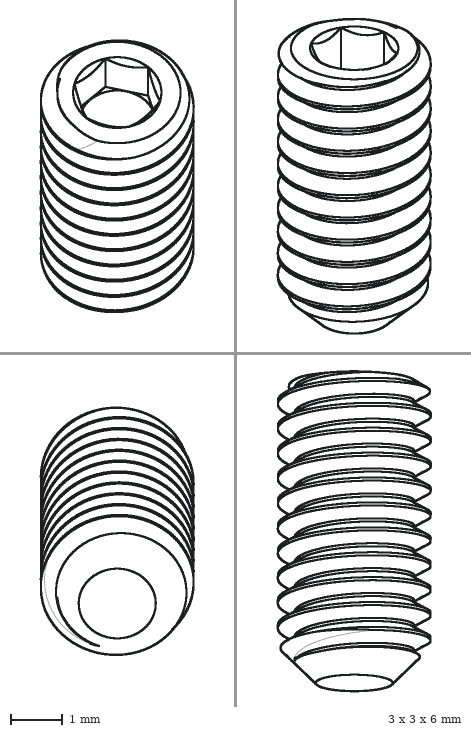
import cadquery as cq
import math

length = 6.0
major_radius = 1.5
pitch = length / 12
flank_angle = 30.0
flat_width = pitch / 8
crest_height_at_x = 0.41
flank_slope = math.tan(math.radians(flank_angle))
root_radius = major_radius - (pitch / 2 - flat_width) / flank_slope
spare_turns = 2
root_overlap = 0.02

top_face_radius = 1.24
top_chamfer_height = 0.17
tip_radius = 0.755
crest_clearance = 0.06

hex_across_flats = 1.5
hex_corner_radius = hex_across_flats / math.sqrt(3)
hex_depth = 0.93
drill_radius = 0.745
drill_half_angle = 60.0


def make_envelope():
    """Turned outline that trims the thread at both ends."""
    clear_radius = major_radius + crest_clearance
    clear_drop = top_chamfer_height * (clear_radius - top_face_radius) / (major_radius - top_face_radius)
    outline = [
        (0, 0),
        (tip_radius, 0),
        (clear_radius, clear_radius - tip_radius),
        (clear_radius, length - clear_drop),
        (top_face_radius, length),
        (0, length),
    ]
    return cq.Workplane("XZ").polyline(outline).close().revolve(360, (0, 0), (0, 1))


def make_thread_ridge():
    """Right-handed helical ridge running past both ends of the body."""
    start = crest_height_at_x - spare_turns * pitch
    turns = length / pitch + 2 * spare_turns - 1
    base_radius = root_radius - root_overlap
    crest_half = flat_width / 2
    base_half = crest_half + (major_radius - base_radius) * flank_slope
    helix = cq.Wire.makeHelix(pitch, turns * pitch, root_radius, center=cq.Vector(0, 0, start))
    profile = cq.Workplane("XZ").polyline([
        (base_radius, start - base_half),
        (major_radius, start - crest_half),
        (major_radius, start + crest_half),
        (base_radius, start + base_half),
    ]).close()
    return profile.sweep(cq.Workplane(helix), isFrenet=True)


def make_socket():
    """Hexagon with corners on Y, a 45 degree lead-in and a drill-point bottom."""
    floor = length - hex_depth
    hexagon = (
        cq.Workplane("XY", origin=(0, 0, floor))
        .polygon(6, 2 * hex_corner_radius)
        .extrude(hex_depth)
        .rotate((0, 0, 0), (0, 0, 1), 30)
    )
    lead_in = (
        cq.Workplane("XZ")
        .polyline([(0, length), (hex_corner_radius, length), (0, length - hex_corner_radius)])
        .close()
        .revolve(360, (0, 0), (0, 1))
    )
    drill_point_depth = drill_radius / math.tan(math.radians(drill_half_angle))
    drill_point = (
        cq.Workplane("XZ")
        .polyline([(0, floor), (drill_radius, floor), (0, floor - drill_point_depth)])
        .close()
        .revolve(360, (0, 0), (0, 1))
    )
    return hexagon.union(lead_in).union(drill_point)


def make_long_core():
    """Root cylinder reaching past the thread, its seam turned away from the ridge start."""
    core_extra = 2 * spare_turns * pitch
    seam_angle = 100
    return (
        cq.Workplane("XY", origin=(0, 0, -core_extra))
        .circle(root_radius)
        .extrude(length + 2 * core_extra)
        .rotate((0, 0, 0), (0, 0, 1), seam_angle)
    )


threaded_rod = make_long_core().union(make_thread_ridge())
result = threaded_rod.intersect(make_envelope()).cut(make_socket())